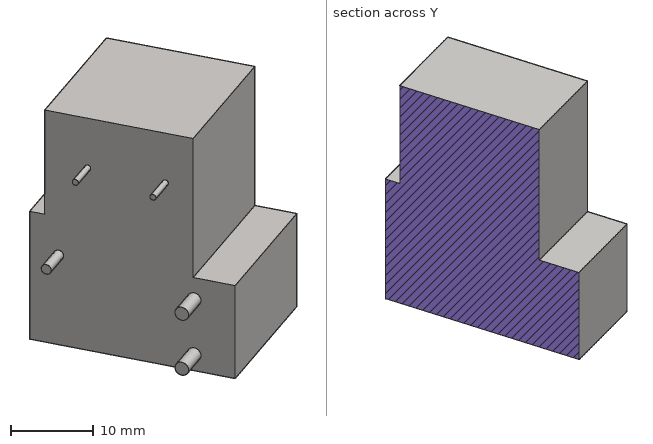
import cadquery as cq

width = 27.0
depth = 20.0
height = 32.05
pin_length = 4.0

left_shoulder_width = 2.0
left_shoulder_height = 17.65
right_shoulder_width = 5.5
right_shoulder_height = 12.85

coil_pin_diameter = 0.8
common_pin_diameter = 1.3
contact_pin_diameter = 1.8

coil_pin_z = 25.2
coil_pin_left_x = 7.63
coil_pin_right_x = 17.82
common_pin_x = 3.8
common_pin_z = 12.4
contact_pin_x = 21.6
contact_pin_lower_z = 2.28
contact_pin_upper_z = 9.87


def make_housing():
    """Stepped profile in XZ, extruded back from the front face at Y = 0."""
    upper_right_x = width - right_shoulder_width
    profile = [
        (0, 0),
        (width, 0),
        (width, right_shoulder_height),
        (upper_right_x, right_shoulder_height),
        (upper_right_x, height),
        (left_shoulder_width, height),
        (left_shoulder_width, left_shoulder_height),
        (0, left_shoulder_height),
    ]
    return cq.Workplane("XZ").polyline(profile).close().extrude(-depth)


def make_pins(diameter, places):
    """Round pins standing out of the front face toward -Y."""
    return cq.Workplane("XZ").pushPoints(places).circle(diameter / 2).extrude(pin_length)


pin_groups = [
    (coil_pin_diameter, [(coil_pin_left_x, coil_pin_z), (coil_pin_right_x, coil_pin_z)]),
    (common_pin_diameter, [(common_pin_x, common_pin_z)]),
    (contact_pin_diameter, [(contact_pin_x, contact_pin_lower_z), (contact_pin_x, contact_pin_upper_z)]),
]

result = make_housing()
for diameter, places in pin_groups:
    result = result.union(make_pins(diameter, places))